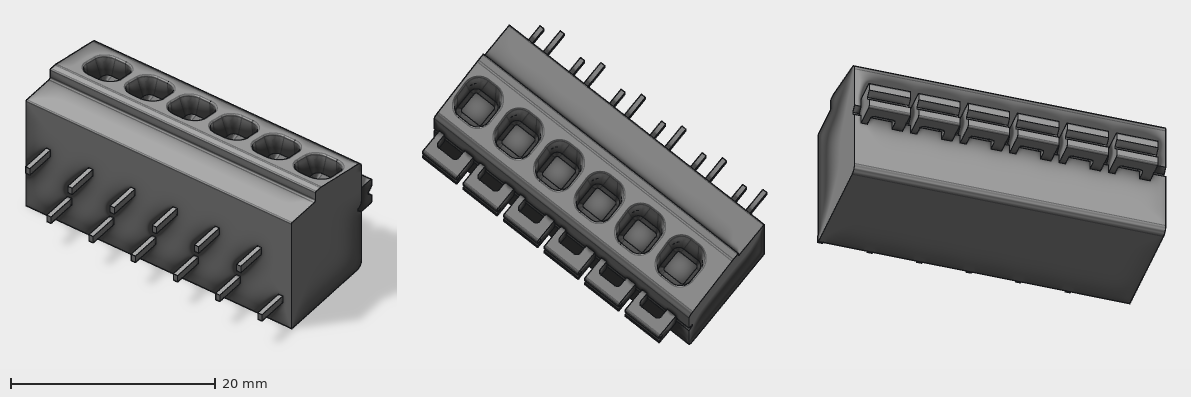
import cadquery as cq
import math


pole_count = 6
pole_pitch = 5.1

length = 31.98
depth = 11.8
height = 14.8
shelf_drop = 1.2
shelf_depth = 4.05
crest_depth = 4.95
slope_angle = 12.0
back_radius = 0.77
crest_radius = 0.95
step_root_radius = 0.22
small_edge_radius = 0.13

pin_width = 0.5
pin_height = 0.83
pin_length = 3.5
upper_pin_x = 2.72
upper_pin_z = 8.28
pin_row_spacing = 4.95

tab_x = 1.63
tab_width = 4.25
tab_height = 3.05
tab_length = 2.65
tab_z = 7.55
tab_edge_radius = 0.2
window_x = 2.72
window_width = 2.53
window_end_wall = 1.28
window_radius = 0.4

groove_width = 1.18
groove_depth = 0.58
groove_root = 0.22

funnel_x = 4.03
mouth_width = 4.3
mouth_depth = 4.57
mouth_y = 8.05
mouth_radius = 1.7
mouth_lip_radius = 0.15
throat_width = 3.3
throat_depth = 3.52
throat_y = 8.25
throat_z = 11.4
throat_radius = 0.77
floor_width = 2.5
floor_depth = 2.43
floor_y = 8.1
floor_z = 11.0
floor_radius = 0.25

slope_tangent = math.tan(math.radians(slope_angle))
shelf_z = height - shelf_drop
back_top_z = height - (depth - crest_depth) * slope_tangent


def round_long_edge(body, y, z, radius):
    """Fillet the full-length housing edge that passes through (y, z)."""
    edge = cq.selectors.NearestToPointSelector((length / 2, y, z))
    return body.edges(edge).fillet(radius)


def make_housing():
    body = (
        cq.Workplane("YZ")
        .moveTo(0, 0)
        .lineTo(depth, 0)
        .lineTo(depth, back_top_z)
        .lineTo(crest_depth, height)
        .lineTo(shelf_depth, height)
        .lineTo(shelf_depth, shelf_z)
        .lineTo(0, shelf_z)
        .close()
        .extrude(length)
    )
    body = round_long_edge(body, depth, 0, back_radius)
    body = round_long_edge(body, depth, back_top_z, back_radius)
    body = round_long_edge(body, crest_depth, height, crest_radius)
    body = round_long_edge(body, shelf_depth, height, small_edge_radius)
    body = round_long_edge(body, shelf_depth, shelf_z, step_root_radius)
    body = round_long_edge(body, 0, shelf_z, small_edge_radius)
    return round_long_edge(body, 0, 0, small_edge_radius)


def make_groove(face_y):
    """Full-length V groove cutter that enters from the plane Y = face_y."""
    return (
        cq.Workplane("YZ")
        .moveTo(face_y, tab_z - groove_width / 2)
        .lineTo(face_y, tab_z + groove_width / 2)
        .lineTo(face_y - groove_depth, tab_z + groove_root / 2)
        .lineTo(face_y - groove_depth, tab_z - groove_root / 2)
        .close()
        .extrude(length)
    )


def make_tab(offset):
    """Windowed tab, long enough to reach the root of the housing groove."""
    root_y = depth - groove_depth
    end_y = depth + tab_length
    window_length = end_y - window_end_wall - root_y
    tab = (
        cq.Workplane("XY")
        .box(tab_width, end_y - root_y, tab_height, centered=(False, False, True))
        .translate((tab_x + offset, root_y, tab_z))
        .edges("|X and >Y")
        .fillet(tab_edge_radius)
    )
    window = (
        cq.Workplane("XY")
        .box(window_width, window_length, tab_height, centered=(False, False, True))
        .edges("|Z and >Y")
        .fillet(window_radius)
        .translate((window_x + offset, root_y, tab_z))
    )
    return tab.cut(window).cut(make_groove(end_y))


def make_pin(x, z):
    return (
        cq.Workplane("XZ", origin=(x, 0, z))
        .rect(pin_width, pin_height)
        .extrude(pin_length)
    )


def funnel_section(y, z, width, breadth, radius):
    """Rounded rectangle centred at (0, y) in the horizontal plane at height z."""
    section = cq.Sketch().rect(width, breadth).vertices().fillet(radius)
    return section.moved(cq.Location(cq.Vector(0, y, z)))


def make_funnel(offset):
    """Cutter for one funnel; the mouth section lies at the crest height."""
    mouth = funnel_section(mouth_y, height, mouth_width, mouth_depth, mouth_radius)
    throat = funnel_section(throat_y, throat_z, throat_width, throat_depth, throat_radius)
    floor = funnel_section(floor_y, floor_z, floor_width, floor_depth, floor_radius)
    flare = cq.Workplane("XY").placeSketch(throat, mouth).loft()
    taper = cq.Workplane("XY").placeSketch(floor, throat).loft()
    return flare.union(taper).translate((funnel_x + offset, 0, 0))


def make_part():
    pole_offsets = [pole * pole_pitch for pole in range(pole_count)]

    part = make_housing()
    for offset in pole_offsets:
        part = part.cut(make_funnel(offset))

    slope_normal = cq.Vector(0, slope_tangent, 1)
    sloped_top = part.faces(cq.selectors.ParallelDirSelector(slope_normal))
    mouths = [edge for wire in sloped_top.val().innerWires() for edge in wire.Edges()]
    part = part.newObject(mouths).fillet(mouth_lip_radius)

    part = part.cut(make_groove(depth))
    for offset in pole_offsets:
        upper_x = upper_pin_x + offset
        part = part.union(make_tab(offset))
        part = part.union(make_pin(upper_x, upper_pin_z))
        part = part.union(make_pin(upper_x + pole_pitch / 2, upper_pin_z - pin_row_spacing))
    return part


result = make_part()